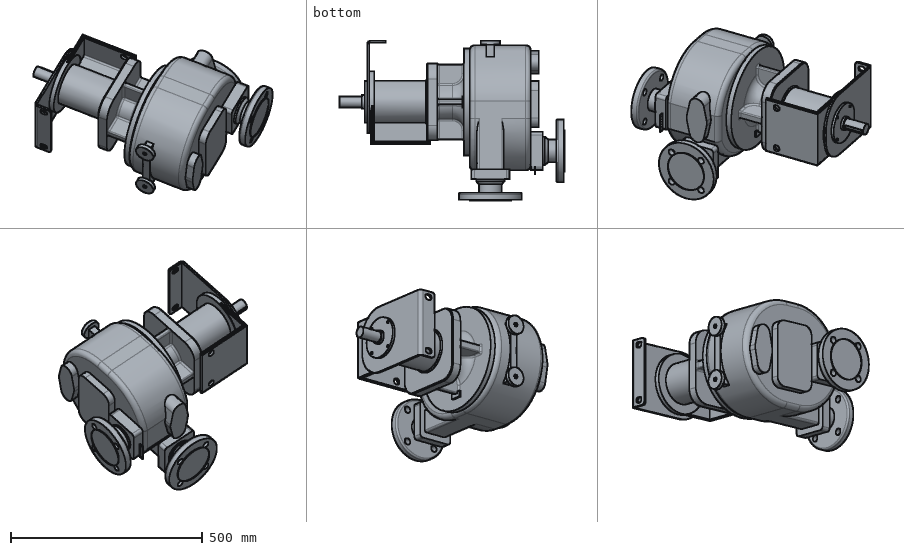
import cadquery as cq
import math


shaft_radius = 15.0
shaft_length = 59.0
key_start = 3.5
key_end = 55.0
key_width = 8.0
key_top = 16.0
collar_radius = 18.0
cap_front = 66.0
cap_radius = 55.0
cap_bolt_offset = 33.5
cap_bolt_radius = 3.0
cap_bolt_depth = 3.0
housing_radius = 55.5
housing_root_flare = 3.5
housing_root_angle = 45
housing_flange_radius = 81.0
housing_flange_back = 92.0

bracket_front = 73.0
bracket_thickness = 6.0
bracket_half_height = 91.0
bracket_top_y = 81.5
bracket_round = 71.0
foot_y = -160.5
foot_end = 122.0
bend_radius = 9.5
foot_corner_radius = 9.0
foot_slot_x = 101.5
foot_slot_z = 75.0
foot_slot_length = 20.0
foot_slot_width = 15.5

guard_front = 82.5
guard_back = 238.0
guard_side_y = 111.0
guard_half_height = 80.0
guard_wall = 8.0
guard_edge_chamfer = 3.0
guard_hole_x = 206.5
guard_hole_z = 61.0
guard_hole_radius = 9.0
shelf_thickness = 8.0
shelf_fillet = 5.0

frame_flange_front = 229.5
frame_flange_back = 256.5
frame_flange_side = 201.5
frame_flange_corner = 40.0
frame_flange_chamfer = 2.5
core_radius = 46.0
rib_reach = 98.5
level_rib_thickness = 20.0
upright_rib_thickness = 13.0
rib_edge_fillet = 3.0
rib_root_fillet = 5.5
lug_width = 30.5
lug_bottom_z = -109.0
lug_depth = 5.0
cover_front = 326.0
cover_radius = 140.5
flare_radius = 30.0

casing_front = 341.0
casing_back = 501.0
casing_radius = 145.0
casing_low_y = -3.5
casing_upper_y = 37.0
casing_lower_y = 43.0
casing_flat_y = 179.0
casing_fillet = 14.0

pipe_flange_radius = 82.5
pipe_flange_thickness = 19.5
raised_face_radius = 54.0
raised_face_height = 2.5
pipe_bolt_offset = 44.0
pipe_bolt_radius = 9.0
pipe_flange_fillet = 5.0
neck_radius = 30.0
collar_base_radius = 37.0
pad_side = 101.0
pad_corner_radius = 9.0
pad_to_face = 57.0
pad_to_flare = 5.5
pad_to_neck = 14.0

outlet_x = 395.0
outlet_z = -111.5
outlet_face_y = 259.0
outlet_base_y = 176.0
inlet_y = 128.0
inlet_z = -9.5
inlet_face_x = 589.5
trunk_top_z = -84.5
trunk_half_width = 35.5
trunk_edge_fillet = 6.0

oval_length = 130.0
oval_middle_radius = 30.5
oval_end_radius = 22.0
filler_z = 14.0
filler_end_y = 201.0

plug_x = 395.0
plug_heights = (66.0, -78.5)
plug_radius = 25.5
plug_thickness = 10.5
plug_socket_size = 10.5
plug_socket_depth = 6.0
web_half_width = 10.0
web_depth = 2.0

back_cover_end = 522.0
back_cover_y = 6.0
back_cover_width = 121.5
back_cover_height = 179.0
back_cover_corner = 25.0
side_cover_y = -104.0
tab_x = 510.5
tab_thickness = 2.5
tab_end_y = 190.0

bracket_back = bracket_front + bracket_thickness
casing_mid_x = (casing_front + casing_back) / 2


def rod(x_start, x_end, radius):
    """Round bar on the shaft axis."""
    return cq.Workplane("YZ", origin=(x_start, 0, 0)).circle(radius).extrude(x_end - x_start)


def block(x_range, y_range, z_range):
    """Box given by its limits on each axis."""
    size = [high - low for low, high in (x_range, y_range, z_range)]
    corner = (x_range[0], y_range[0], z_range[0])
    return cq.Workplane("XY").box(*size, centered=False).translate(corner)


def make_shaft():
    key = block((key_start, key_end), (0, key_top), (-key_width / 2, key_width / 2))
    collar = rod(shaft_length, cap_front, collar_radius)
    return rod(0, shaft_length, shaft_radius).union(key).union(collar)


def make_housing():
    cap = rod(cap_front, bracket_front, cap_radius)
    bolt_holes = (
        cq.Workplane("YZ", origin=(cap_front, 0, 0))
        .rect(2 * cap_bolt_offset, 2 * cap_bolt_offset, forConstruction=True)
        .vertices()
        .circle(cap_bolt_radius)
        .extrude(cap_bolt_depth)
    )
    flange = rod(bracket_back, housing_flange_back, housing_flange_radius)
    barrel = rod(bracket_front, frame_flange_front, housing_radius)
    barrel_root = (
        cq.Workplane("YZ", origin=(frame_flange_front - housing_root_flare, 0, 0))
        .circle(housing_radius)
        .extrude(housing_root_flare, taper=-housing_root_angle)
    )
    return cap.cut(bolt_holes).union(flange).union(barrel).union(barrel_root)


def make_bracket():
    plate = block(
        (bracket_front, bracket_back),
        (foot_y, bracket_top_y),
        (-bracket_half_height, bracket_half_height),
    )
    plate = plate.edges("|X and >Y").fillet(bracket_round)
    foot = block(
        (bracket_front, foot_end),
        (foot_y, foot_y + bracket_thickness),
        (-bracket_half_height, bracket_half_height),
    )
    foot = foot.edges("|Y and >X").fillet(foot_corner_radius)
    slots = (
        cq.Workplane("XZ", origin=(0, foot_y + bracket_thickness, 0))
        .pushPoints([(foot_slot_x, foot_slot_z), (foot_slot_x, -foot_slot_z)])
        .slot2D(foot_slot_length, foot_slot_width)
        .extrude(bracket_thickness)
    )
    bracket = plate.union(foot.cut(slots))
    return bracket.edges("|Z and <X and <Y").fillet(bend_radius)


def make_guard():
    height_range = (-guard_half_height, guard_half_height)
    sheet = block((guard_front, guard_back), (0, guard_side_y), height_range)
    inside = block((guard_front + guard_wall, guard_back), (0, guard_side_y - guard_wall), height_range)
    sheet = sheet.cut(inside).faces("<Z or >Z").edges("not(>X or <Y)").chamfer(guard_edge_chamfer)
    holes = (
        cq.Workplane("XZ", origin=(0, guard_side_y, 0))
        .pushPoints([(guard_hole_x, guard_hole_z), (guard_hole_x, -guard_hole_z)])
        .circle(guard_hole_radius)
        .extrude(guard_wall)
    )
    shelf = block((guard_front, frame_flange_front), (0, guard_side_y - guard_wall), (-shelf_thickness, 0))
    shelf_corner = cq.selectors.BoxSelector(
        (guard_front, guard_side_y - guard_wall - shelf_fillet, -shelf_fillet),
        (guard_back, guard_side_y - guard_wall + shelf_fillet, shelf_fillet),
    )
    return sheet.cut(holes).union(shelf).edges("|X").edges(shelf_corner).fillet(shelf_fillet)


def make_frame():
    flange = (
        cq.Workplane("YZ", origin=(frame_flange_front, 0, 0))
        .rect(frame_flange_side, frame_flange_side)
        .extrude(frame_flange_back - frame_flange_front)
        .edges("|X")
        .fillet(frame_flange_corner)
        .faces("<X")
        .chamfer(frame_flange_chamfer)
    )
    flare_start = cover_front - flare_radius
    flare_rise = flare_radius * math.sqrt(0.5)
    core = (
        cq.Workplane("XY")
        .moveTo(frame_flange_back, 0)
        .lineTo(frame_flange_back, core_radius)
        .lineTo(flare_start, core_radius)
        .threePointArc(
            (flare_start + flare_rise, core_radius + flare_radius - flare_rise),
            (cover_front, core_radius + flare_radius),
        )
        .lineTo(cover_front, 0)
        .close()
        .revolve(360, (0, 0, 0), (1, 0, 0))
    )
    x_range = (frame_flange_back, cover_front)
    reach = (-rib_reach, rib_reach)
    level_rib = block(x_range, reach, (-level_rib_thickness / 2, level_rib_thickness / 2))
    level_rib = level_rib.edges("|X").fillet(rib_edge_fillet)
    upright_rib = block(x_range, (-upright_rib_thickness / 2, upright_rib_thickness / 2), reach)
    upright_rib = upright_rib.edges("|X").fillet(rib_edge_fillet)
    cover = rod(cover_front, casing_front, cover_radius)
    frame = flange.union(core).union(level_rib).union(upright_rib).union(cover)
    root_limit = core_radius + flare_radius
    rib_roots = cq.selectors.BoxSelector(
        (frame_flange_back - rib_root_fillet, -root_limit, -root_limit),
        (flare_start - rib_root_fillet, root_limit, root_limit),
    )
    lug = block(
        (cover_front - lug_depth, cover_front),
        (-lug_width / 2, lug_width / 2),
        (lug_bottom_z, -rib_reach + rib_root_fillet),
    )
    return frame.edges(rib_roots).fillet(rib_root_fillet).union(lug)


def make_casing():
    diagonal = casing_radius * math.sqrt(0.5)
    flat_top_z = math.sqrt(casing_radius**2 - (casing_flat_y - casing_upper_y) ** 2)
    flat_bottom_z = -math.sqrt(casing_radius**2 - (casing_flat_y - casing_lower_y) ** 2)
    return (
        cq.Workplane("YZ", origin=(casing_front, 0, 0))
        .moveTo(casing_low_y, casing_radius)
        .threePointArc((casing_low_y - casing_radius, 0), (casing_low_y, -casing_radius))
        .lineTo(casing_lower_y, -casing_radius)
        .threePointArc((casing_lower_y + diagonal, -diagonal), (casing_flat_y, flat_bottom_z))
        .lineTo(casing_flat_y, flat_top_z)
        .threePointArc((casing_upper_y + diagonal, diagonal), (casing_upper_y, casing_radius))
        .close()
        .extrude(casing_back - casing_front)
        .faces("<X or >X")
        .edges()
        .fillet(casing_fillet)
    )


def make_connection(base_depth):
    """Pipe connection along +Z from its base at Z = 0 to its raised face; the pad ends at base_depth."""
    face = base_depth + pad_to_face
    flange_top = face - raised_face_height
    flange_bottom = flange_top - pipe_flange_thickness
    pad = cq.Workplane("XY").rect(pad_side, pad_side).extrude(base_depth)
    pad = pad.edges("|Z").fillet(pad_corner_radius)
    collar = (
        cq.Workplane("XZ")
        .moveTo(0, base_depth)
        .lineTo(collar_base_radius, base_depth)
        .lineTo(collar_base_radius, base_depth + pad_to_flare)
        .lineTo(neck_radius, base_depth + pad_to_neck)
        .lineTo(neck_radius, flange_bottom)
        .lineTo(0, flange_bottom)
        .close()
        .revolve(360, (0, 0, 0), (0, 1, 0))
    )
    flange = (
        cq.Workplane("XY", origin=(0, 0, flange_bottom))
        .circle(pipe_flange_radius)
        .extrude(pipe_flange_thickness)
        .faces("<Z")
        .edges()
        .fillet(pipe_flange_fillet)
        .faces(">Z")
        .workplane()
        .rect(2 * pipe_bolt_offset, 2 * pipe_bolt_offset, forConstruction=True)
        .vertices()
        .hole(2 * pipe_bolt_radius)
    )
    raised_face = (
        cq.Workplane("XY", origin=(0, 0, flange_top)).circle(raised_face_radius).extrude(raised_face_height)
    )
    return pad.union(collar).union(flange).union(raised_face)


def make_outlet():
    base_depth = outlet_face_y - pad_to_face - outlet_base_y
    connection = make_connection(base_depth).rotate((0, 0, 0), (1, 0, 0), -90)
    trunk = block(
        (outlet_x - trunk_half_width, outlet_x + trunk_half_width),
        (casing_lower_y, outlet_base_y),
        (-casing_radius, trunk_top_z),
    )
    trunk = trunk.edges("|Y and <Z").fillet(trunk_edge_fillet)
    return connection.translate((outlet_x, outlet_base_y, outlet_z)).union(trunk)


def make_inlet():
    base_depth = inlet_face_x - pad_to_face - casing_back
    connection = make_connection(base_depth).rotate((0, 0, 0), (0, 1, 0), 90)
    tab = block(
        (tab_x, tab_x + tab_thickness),
        (inlet_y, tab_end_y),
        (inlet_z - pad_side / 2, inlet_z),
    )
    return connection.translate((casing_back, inlet_y, inlet_z)).union(tab)


def make_oval(depth):
    """Oval prism along Z, long along X: small end arcs joined by tangent lines to wider middle arcs."""
    end_offset = oval_length / 2 - oval_end_radius
    sine = (oval_middle_radius - oval_end_radius) / end_offset
    cosine = math.sqrt(1 - sine**2)
    middle_x = oval_middle_radius * sine
    middle_y = oval_middle_radius * cosine
    end_x = end_offset + oval_end_radius * sine
    end_y = oval_end_radius * cosine
    return (
        cq.Workplane("XY")
        .moveTo(-middle_x, middle_y)
        .threePointArc((0, oval_middle_radius), (middle_x, middle_y))
        .lineTo(end_x, end_y)
        .threePointArc((oval_length / 2, 0), (end_x, -end_y))
        .lineTo(middle_x, -middle_y)
        .threePointArc((0, -oval_middle_radius), (-middle_x, -middle_y))
        .lineTo(-end_x, -end_y)
        .threePointArc((-oval_length / 2, 0), (-end_x, end_y))
        .close()
        .extrude(depth)
    )


def make_filler():
    upright_oval = make_oval(filler_end_y - casing_upper_y).rotate((0, 0, 0), (0, 0, 1), 90)
    oval = upright_oval.rotate((0, 0, 0), (1, 0, 0), -90)
    return oval.translate((outlet_x, casing_upper_y, filler_z))


def make_plugs():
    plug_back_y = foot_y + plug_thickness
    highest, lowest = plug_heights
    plugs = block(
        (plug_x - web_half_width, plug_x + web_half_width),
        (plug_back_y - web_depth, 0),
        (lowest - web_half_width, highest + web_half_width),
    )
    for height in plug_heights:
        head = (
            cq.Workplane("XZ", origin=(plug_x, foot_y, height)).circle(plug_radius).extrude(-plug_thickness)
        )
        socket = (
            cq.Workplane("XZ", origin=(plug_x, foot_y, height))
            .polygon(6, plug_socket_size)
            .extrude(-plug_socket_depth)
        )
        plugs = plugs.union(head).cut(socket)
    return plugs


def make_back_covers():
    main_cover = (
        cq.Workplane("YZ", origin=(casing_back, back_cover_y, inlet_z))
        .rect(back_cover_width, back_cover_height)
        .extrude(back_cover_end - casing_back)
        .edges("|X")
        .fillet(back_cover_corner)
    )
    side_cover = make_oval(back_cover_end - casing_mid_x).rotate((0, 0, 0), (0, 1, 0), 90)
    return main_cover.union(side_cover.translate((casing_mid_x, side_cover_y, inlet_z)))


result = (
    make_shaft()
    .union(make_housing())
    .union(make_bracket())
    .union(make_guard())
    .union(make_frame())
    .union(make_casing())
    .union(make_outlet())
    .union(make_inlet())
    .union(make_filler())
    .union(make_plugs())
    .union(make_back_covers())
)